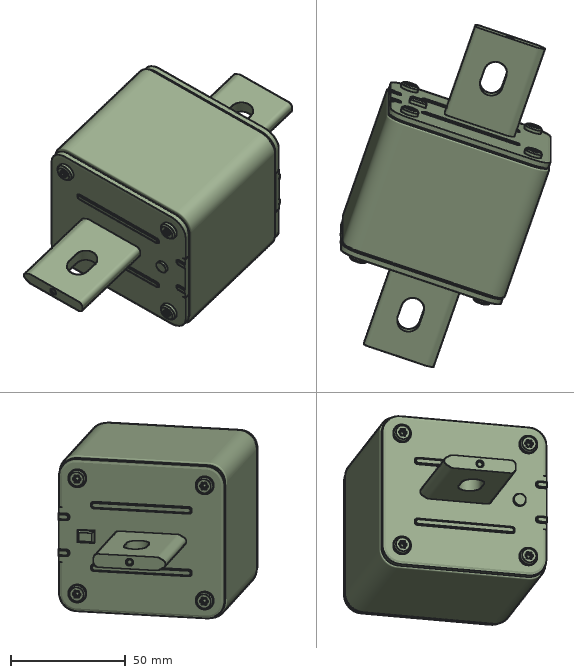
import cadquery as cq
import math

body_width = 75.0
body_height = 70.0
body_length = 60.3
body_corner = 8.0
body_end_fillet = 0.6

gasket_width = 73.8
gasket_height = 65.8
gasket_thickness = 0.8
plate_width = 74.0
plate_height = 68.5
plate_thickness = 2.7
plate_corner = 8.0
rim_width = 0.6
bevel_width = 0.8
bevel_depth = 0.22
lug_overhang = 0.08
lug_height = 24.8
plate_edge_x = plate_width / 2 + lug_overhang
gasket_start = body_length / 2
plate_start = gasket_start + gasket_thickness
plate_face = plate_start + plate_thickness

rib_width = 3.2
rib_height = 0.5
rib_chamfer_depth = 0.38
rib_chamfer_width = 0.6
long_rib_length = 45.3
long_rib_z = 14.1
short_rib_start = 32.1
short_rib_z = 8.1

button_x = 24.6
front_button_radius = 2.7
front_button_height = 1.2
back_block_width = 7.5
back_block_height = 5.4
back_block_rise = 2.2
back_block_chamfer = 0.8

screw_x = 28.5
screw_z = 26.0
head_radius = 3.9
head_height = 2.2
head_chamfer = 0.8
socket_radius = 1.4
socket_depth = 1.5
lobe_radius = 0.5
lobe_count = 6
cone_radius = 0.9
cone_depth = 0.6

total_length = 150.0
blade_thickness = 6.0
blade_left = -20.1
blade_right = 12.2
blade_right_fillet = 2.1
tip_radius = 2.0
flank_angle = math.radians(30)
shoulder_radius = 2.7
slot_x = -2.8
slot_y = 55.6
slot_length = 15.3
slot_width = 10.0
dimple_radius = 1.6
dimple_floor_radius = 1.12
dimple_depth = 0.5

overlap = 0.3


def along_y(start):
    """Workplane at Y = start with local axes X and Z, extruding toward -Y."""
    return cq.Workplane("XZ", origin=(0, start, 0))


def rounded_block(width, height, corner, start, length):
    """Block from Y = -start to -(start + length) with rounded long edges."""
    return along_y(-start).rect(width, height).extrude(length).edges("|Y").fillet(corner)


def housing():
    block = rounded_block(body_width, body_height, body_corner, -body_length / 2, body_length)
    return block.faces("<Y or >Y").edges().fillet(body_end_fillet)


def gasket():
    return rounded_block(
        gasket_width,
        gasket_height,
        plate_corner,
        gasket_start - overlap,
        gasket_thickness + 2 * overlap,
    )


def plate():
    """Cover plate with a low rim, a bevelled raised face and a full-thickness lug on its +X side."""
    base_thickness = plate_thickness - bevel_depth
    base = rounded_block(plate_width, plate_height, plate_corner, plate_start, base_thickness)
    face = rounded_block(
        plate_width - 2 * rim_width,
        plate_height - 2 * rim_width,
        plate_corner - rim_width,
        plate_start,
        plate_thickness,
    )
    face = face.faces("<Y").chamfer(bevel_depth, bevel_width)
    lug_inner_x = plate_width / 2 - rim_width - bevel_width
    lug_width = plate_edge_x - lug_inner_x
    lug = along_y(-plate_start).center(lug_inner_x + lug_width / 2, 0).rect(lug_width, lug_height)
    return base.union(face).union(lug.extrude(plate_thickness))


def rib(x_center, z_center, length):
    """Raised rib with round ends and a chamfered top edge."""
    bar = along_y(overlap - plate_face).center(x_center, z_center).slot2D(length, rib_width)
    return bar.extrude(rib_height + overlap).faces("<Y").chamfer(rib_chamfer_depth, rib_chamfer_width)


def short_rib(z_center):
    """Rib that starts on the plate and is cut off square at its +X edge."""
    reach = plate_edge_x - short_rib_start
    full_bar = rib(plate_edge_x, z_center, 2 * reach)
    keep = cq.Workplane().box(reach, total_length, body_height)
    return full_bar.intersect(keep.translate((short_rib_start + reach / 2, 0, 0)))


def front_button():
    button = along_y(overlap - plate_face).center(button_x, 0).circle(front_button_radius)
    return button.extrude(front_button_height + overlap)


def back_block():
    block = along_y(overlap - plate_face).center(button_x, 0).rect(back_block_width, back_block_height)
    block = block.extrude(back_block_rise + overlap).faces("<Y").chamfer(back_block_chamfer)
    return block.mirror("XZ")


def screw_head():
    """Chamfered round head with a conical-floored six-lobe socket, centred on the Y axis."""
    head = along_y(overlap - plate_face).circle(head_radius).extrude(head_height + overlap)
    head = head.faces("<Y").chamfer(head_chamfer)
    top = along_y(-plate_face - head_height)
    core = top.circle(socket_radius).extrude(-socket_depth)
    lobes = top.polarArray(socket_radius, 0, 360, lobe_count).circle(lobe_radius).extrude(-socket_depth)
    socket_floor = -plate_face - head_height + socket_depth
    cone = cq.Workplane(cq.Solid.makeCone(
        cone_radius, 0, cone_depth, cq.Vector(0, socket_floor, 0), cq.Vector(0, 1, 0)
    ))
    return head.cut(core).cut(lobes).cut(cone)


def end_assembly():
    """Everything both ends share, built on the -Y end."""
    cover = gasket().union(plate())
    head = screw_head()
    for side in (-1, 1):
        cover = cover.union(rib(0, side * long_rib_z, long_rib_length))
        cover = cover.union(short_rib(side * short_rib_z))
        for x in (-screw_x, screw_x):
            cover = cover.union(head.translate((x, 0, side * screw_z)))
    return cover


def blade():
    """Flat bar with a tapered, round-nosed left edge, two slots and end dimples."""
    half = blade_thickness / 2
    sine, cosine = math.sin(flank_angle), math.cos(flank_angle)
    nose_x = blade_left + tip_radius * (1 - sine)
    nose_z = tip_radius * cosine
    shoulder_z = half - shoulder_radius * (1 - cosine)
    shoulder_x = nose_x + (shoulder_z - nose_z) / math.tan(flank_angle)
    flat_x = shoulder_x + shoulder_radius * sine
    half_angle = flank_angle / 2
    mid_x = flat_x - shoulder_radius * math.sin(half_angle)
    mid_z = half - shoulder_radius * (1 - math.cos(half_angle))
    bar = (
        along_y(total_length / 2)
        .moveTo(blade_right, -half)
        .lineTo(blade_right, half)
        .lineTo(flat_x, half)
        .threePointArc((mid_x, mid_z), (shoulder_x, shoulder_z))
        .lineTo(nose_x, nose_z)
        .threePointArc((blade_left, 0), (nose_x, -nose_z))
        .lineTo(shoulder_x, -shoulder_z)
        .threePointArc((mid_x, -mid_z), (flat_x, -half))
        .close()
        .extrude(total_length)
    )
    bar = bar.edges("|Y and >X").fillet(blade_right_fillet)
    slots = (
        cq.Workplane("XY", origin=(0, 0, -half))
        .pushPoints([(slot_x, -slot_y), (slot_x, slot_y)])
        .slot2D(slot_length, slot_width, 90)
        .extrude(blade_thickness)
    )
    bar = bar.cut(slots)
    dimple_x = (blade_left + blade_right) / 2
    for end in (-1, 1):
        dimple = cq.Solid.makeCone(
            dimple_radius, dimple_floor_radius, dimple_depth,
            cq.Vector(dimple_x, end * total_length / 2, 0), cq.Vector(0, -end, 0)
        )
        bar = bar.cut(cq.Workplane(dimple))
    return bar


front_end = end_assembly()
back_end = front_end.mirror("XZ")

result = housing().union(front_end).union(back_end)
result = result.union(front_button()).union(back_block()).union(blade())